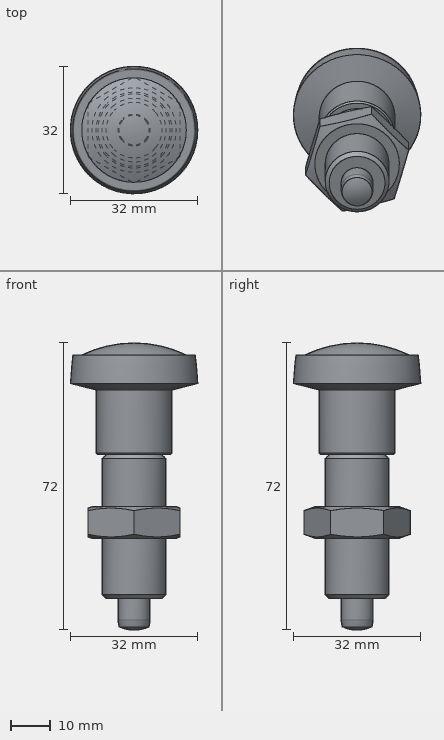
import cadquery as cq
import math

overall_height = 72.0
pin_dome_height = 0.9
pin_round_top = 2.5
body_bottom = 7.9
nut_bottom = 23.05
nut_height = 7.9
sleeve_bottom = 44.0
knob_bottom = 60.2
rim_bottom = 61.85
rim_top = 69.0

pin_radius = 8.0 / 2
pin_dome_radius = 7.5 / 2
body_radius = 16.0 / 2
sleeve_radius = 19.0 / 2
rim_radius = 32.0 / 2
knob_top_radius = 15.3
dome_radius = 13.1

body_bottom_chamfer = 1.0
body_top_chamfer = 1.0
sleeve_chamfer = 0.4
rim_bulge = 0.1
rim_fillet = 0.2

nut_across_flats = 23.1
nut_chamfer_angle = 20
nut_face_radius = 10.6


def cap_arc_middle(radius, rise):
    """Point halfway out on a spherical cap, as its distance from the axis and its drop below the apex."""
    sphere_radius = (radius**2 + rise**2) / (2 * rise)
    distance = radius / 2
    drop = sphere_radius - math.sqrt(sphere_radius**2 - distance**2)
    return distance, drop


def make_plunger():
    """Revolve the pin, threaded body, sleeve and domed knob as one profile."""
    pin_mid_radius, pin_mid_height = cap_arc_middle(pin_dome_radius, pin_dome_height)
    dome_mid_radius, dome_drop = cap_arc_middle(dome_radius, overall_height - rim_top)
    rim_mid_radius = (rim_radius + knob_top_radius) / 2 + rim_bulge
    round_mid_radius = pin_radius - (pin_radius - pin_dome_radius) / 4
    round_mid_height = (pin_dome_height + pin_round_top) / 2
    profile = (
        cq.Workplane("XZ")
        .moveTo(0, 0)
        .threePointArc((pin_mid_radius, pin_mid_height), (pin_dome_radius, pin_dome_height))
        .threePointArc((round_mid_radius, round_mid_height), (pin_radius, pin_round_top))
        .lineTo(pin_radius, body_bottom)
        .lineTo(body_radius - body_bottom_chamfer, body_bottom)
        .lineTo(body_radius, body_bottom + body_bottom_chamfer)
        .lineTo(body_radius, sleeve_bottom - body_top_chamfer)
        .lineTo(body_radius - body_top_chamfer, sleeve_bottom)
        .lineTo(sleeve_radius - sleeve_chamfer, sleeve_bottom)
        .lineTo(sleeve_radius, sleeve_bottom + sleeve_chamfer)
        .lineTo(sleeve_radius, knob_bottom)
        .lineTo(rim_radius, rim_bottom)
        .threePointArc((rim_mid_radius, (rim_bottom + rim_top) / 2), (knob_top_radius, rim_top))
        .lineTo(dome_radius, rim_top)
        .threePointArc((dome_mid_radius, overall_height - dome_drop), (0, overall_height))
        .close()
    )
    plunger = profile.revolve(360, (0, 0, 0), (0, 1, 0))
    outermost = cq.selectors.RadiusNthSelector(-1)
    top_edges = plunger.edges(
        cq.selectors.BoxSelector(
            (-rim_radius, -rim_radius, rim_top - rim_fillet),
            (rim_radius, rim_radius, rim_top + rim_fillet),
        )
    )
    return top_edges.edges(outermost).fillet(rim_fillet)


def make_nut():
    """Hexagon with corners on the Y axis, its corners trimmed by a cone at both faces."""
    corner_radius = nut_across_flats / math.sqrt(3)
    hexagon = (
        cq.Workplane("XY", origin=(0, 0, nut_bottom))
        .polygon(6, 2 * corner_radius)
        .extrude(nut_height)
        .rotate((0, 0, 0), (0, 0, 1), 90)
    )
    cone_drop = (corner_radius - nut_face_radius) * math.tan(math.radians(nut_chamfer_angle))
    nut_top = nut_bottom + nut_height
    trim = (
        cq.Workplane("XZ")
        .moveTo(0, nut_bottom)
        .lineTo(nut_face_radius, nut_bottom)
        .lineTo(corner_radius, nut_bottom + cone_drop)
        .lineTo(corner_radius, nut_top - cone_drop)
        .lineTo(nut_face_radius, nut_top)
        .lineTo(0, nut_top)
        .close()
        .revolve(360, (0, 0, 0), (0, 1, 0))
    )
    return hexagon.intersect(trim)


result = make_plunger().union(make_nut())